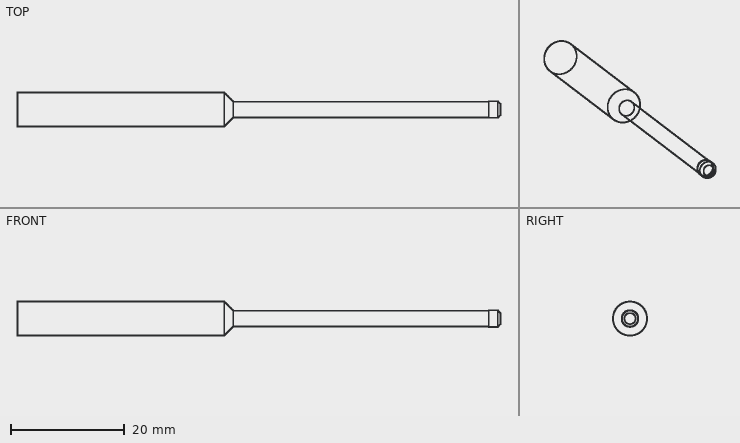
import cadquery as cq

TOTAL_LENGTH = 85.0

SHANK_DIAMETER = 6.0
SHANK_LENGTH = 36.4
NECK_DIAMETER = 2.8

TIP_DIAMETER = 3.0
TIP_LENGTH = 2.0
TIP_CHAMFER = 0.5

shoulder_length = (SHANK_DIAMETER - NECK_DIAMETER) / 2
shoulder_end = SHANK_LENGTH + shoulder_length
tip_start = TOTAL_LENGTH - TIP_LENGTH


def make_holder():
    """Shank, shoulder and neck turned as one solid about the X axis."""
    shank_radius = SHANK_DIAMETER / 2
    neck_radius = NECK_DIAMETER / 2
    half_profile = [
        (0, 0),
        (0, shank_radius),
        (SHANK_LENGTH, shank_radius),
        (shoulder_end, neck_radius),
        (tip_start, neck_radius),
        (tip_start, 0),
    ]
    return cq.Workplane("XZ").polyline(half_profile).close().revolve(360, (0, 0, 0), (1, 0, 0))


def make_tip():
    """Cylindrical tip seated on the flat end of the neck, with a chamfered free end."""
    return (
        cq.Workplane("YZ", origin=(tip_start, 0, 0))
        .circle(TIP_DIAMETER / 2)
        .extrude(TIP_LENGTH)
        .faces(">X")
        .chamfer(TIP_CHAMFER)
    )


holder = make_holder()
tip = make_tip()

result = cq.Compound.makeCompound([holder.val(), tip.val()])